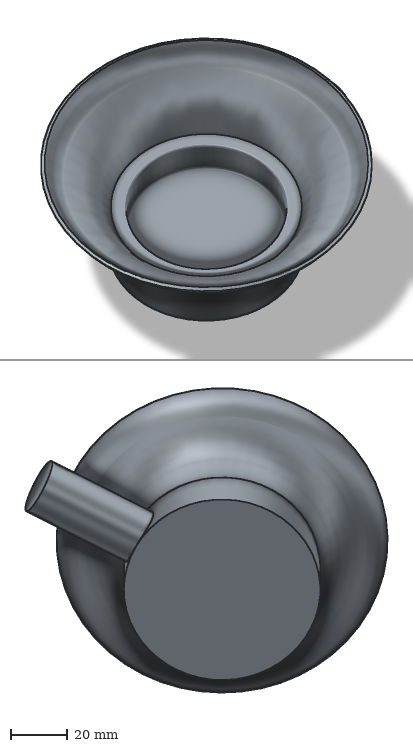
import cadquery as cq
import math

COLLAR_RADIUS = 35.0
COLLAR_HEIGHT = 20.0
HANDLE_RADIUS = COLLAR_HEIGHT / 2
HANDLE_REACH = 74.5

WALL = 1.5
CUP_RADIUS = 28.6
CUP_DEPTH = 12.0
CUP_FILLET = 1.0

HOLLOW_RADIUS = 32.6
BULGE_RADIUS = 15.1
END_LEAN = math.radians(23.0)
MIDDLE_LEAN = math.radians(65.4)

SHELF_Z = COLLAR_HEIGHT + WALL
FLOOR_Z = SHELF_Z - CUP_DEPTH
CUP_BOTTOM_Z = FLOOR_Z - WALL
CUP_OUTER_RADIUS = CUP_RADIUS + WALL


def arc_point(center, radius, angle):
    """Point (r, z) at the given angle on a circle in the half-section."""
    return (center[0] + radius * math.cos(angle), center[1] + radius * math.sin(angle))


def make_holder():
    """Collar and handle, with a round pocket that takes the dish's cup."""
    collar = (
        cq.Workplane("XY")
        .circle(COLLAR_RADIUS)
        .extrude(COLLAR_HEIGHT)
        .rotate((0, 0, 0), (0, 0, 1), 90)
    )
    handle = (
        cq.Workplane("XZ", origin=(0, 0, HANDLE_RADIUS))
        .circle(HANDLE_RADIUS)
        .extrude(-HANDLE_REACH)
    )
    pocket = (
        cq.Workplane("XY")
        .workplane(offset=CUP_BOTTOM_Z)
        .circle(CUP_OUTER_RADIUS)
        .extrude(COLLAR_HEIGHT - CUP_BOTTOM_Z)
    )
    return collar.union(handle).cut(pocket).solids()


def make_dish():
    """Half-section of cup, shelf and flare, revolved about the Z axis."""
    foot = (COLLAR_RADIUS, COLLAR_HEIGHT)
    hollow_center = arc_point(foot, HOLLOW_RADIUS, -END_LEAN)
    join_angle = math.pi - MIDDLE_LEAN
    outer_join = arc_point(hollow_center, HOLLOW_RADIUS, join_angle)
    bulge_center = arc_point(outer_join, BULGE_RADIUS, join_angle)

    inner_hollow_radius = HOLLOW_RADIUS + WALL
    inner_bulge_radius = BULGE_RADIUS - WALL
    inner_join = arc_point(hollow_center, inner_hollow_radius, join_angle)
    shelf_angle = math.pi - math.asin((SHELF_Z - hollow_center[1]) / inner_hollow_radius)
    shelf_edge = arc_point(hollow_center, inner_hollow_radius, shelf_angle)

    hollow_middle = math.pi - (END_LEAN + MIDDLE_LEAN) / 2
    inner_hollow_middle = (shelf_angle + join_angle) / 2
    bulge_middle = -(END_LEAN + MIDDLE_LEAN) / 2

    section = (
        cq.Workplane("XZ")
        .moveTo(0, CUP_BOTTOM_Z)
        .lineTo(CUP_OUTER_RADIUS, CUP_BOTTOM_Z)
        .lineTo(CUP_OUTER_RADIUS, COLLAR_HEIGHT)
        .lineTo(*foot)
        .threePointArc(arc_point(hollow_center, HOLLOW_RADIUS, hollow_middle), outer_join)
        .threePointArc(
            arc_point(bulge_center, BULGE_RADIUS, bulge_middle),
            arc_point(bulge_center, BULGE_RADIUS, -END_LEAN),
        )
        .lineTo(*arc_point(bulge_center, inner_bulge_radius, -END_LEAN))
        .threePointArc(arc_point(bulge_center, inner_bulge_radius, bulge_middle), inner_join)
        .threePointArc(
            arc_point(hollow_center, inner_hollow_radius, inner_hollow_middle), shelf_edge
        )
        .lineTo(CUP_RADIUS + CUP_FILLET, SHELF_Z)
        .radiusArc((CUP_RADIUS, SHELF_Z - CUP_FILLET), -CUP_FILLET)
        .lineTo(CUP_RADIUS, FLOOR_Z + CUP_FILLET)
        .radiusArc((CUP_RADIUS - CUP_FILLET, FLOOR_Z), CUP_FILLET)
        .lineTo(0, FLOOR_Z)
        .close()
    )
    return section.revolve(360, (0, 0, 0), (0, 1, 0))


holder = make_holder()
dish = make_dish()

result = cq.Compound.makeCompound([holder.val(), dish.val()])